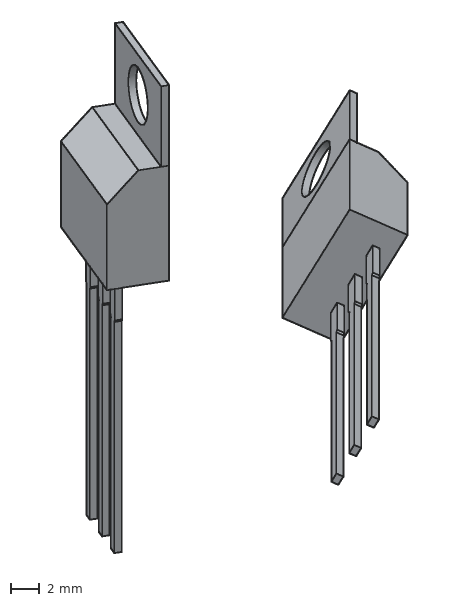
import cadquery as cq

total_height = 37.4
width = 10.2
depth = 4.6

tab_height = 6.35
tab_thickness = 0.6
hole_diameter = 4.25

housing_height = 9.1
slope_depth = 2.32
slope_height = 2.32

lead_count = 3
lead_pitch = 2.7
lead_thickness = 0.55
lead_center_from_back = 3.1
wide_lead_width = 1.0
narrow_lead_width = 0.8
wide_lead_length = 3.5
taper_length = 0.2
lead_length = total_height - tab_height - housing_height

lead_back_y = -lead_center_from_back + lead_thickness / 2


def make_housing():
    """Side profile in the YZ plane, extruded symmetrically across the width."""
    return (
        cq.Workplane("YZ")
        .moveTo(0, 0)
        .lineTo(0, housing_height)
        .lineTo(slope_depth - depth, housing_height)
        .lineTo(-depth, housing_height - slope_height)
        .lineTo(-depth, 0)
        .close()
        .extrude(width / 2, both=True)
    )


def make_tab():
    """Flat plate standing on the housing, with a central mounting hole."""
    return (
        cq.Workplane("XZ")
        .center(0, housing_height + tab_height / 2)
        .rect(width, tab_height)
        .circle(hole_diameter / 2)
        .extrude(tab_thickness)
    )


def make_lead(x):
    """Flat lead centered at x, hanging from the housing underside."""
    wide_half = wide_lead_width / 2
    narrow_half = narrow_lead_width / 2
    taper_end_z = -wide_lead_length - taper_length
    return (
        cq.Workplane("XZ", origin=(x, lead_back_y, 0))
        .moveTo(-wide_half, 0)
        .lineTo(wide_half, 0)
        .lineTo(wide_half, -wide_lead_length)
        .lineTo(narrow_half, taper_end_z)
        .lineTo(narrow_half, -lead_length)
        .lineTo(-narrow_half, -lead_length)
        .lineTo(-narrow_half, taper_end_z)
        .lineTo(-wide_half, -wide_lead_length)
        .close()
        .extrude(lead_thickness)
    )


housing = make_housing()
tab = make_tab()
first_lead_x = -lead_pitch * (lead_count - 1) / 2
leads = [make_lead(first_lead_x + i * lead_pitch) for i in range(lead_count)]

result = cq.Compound.makeCompound(
    [housing.val(), tab.val(), *[lead.val() for lead in leads]]
)